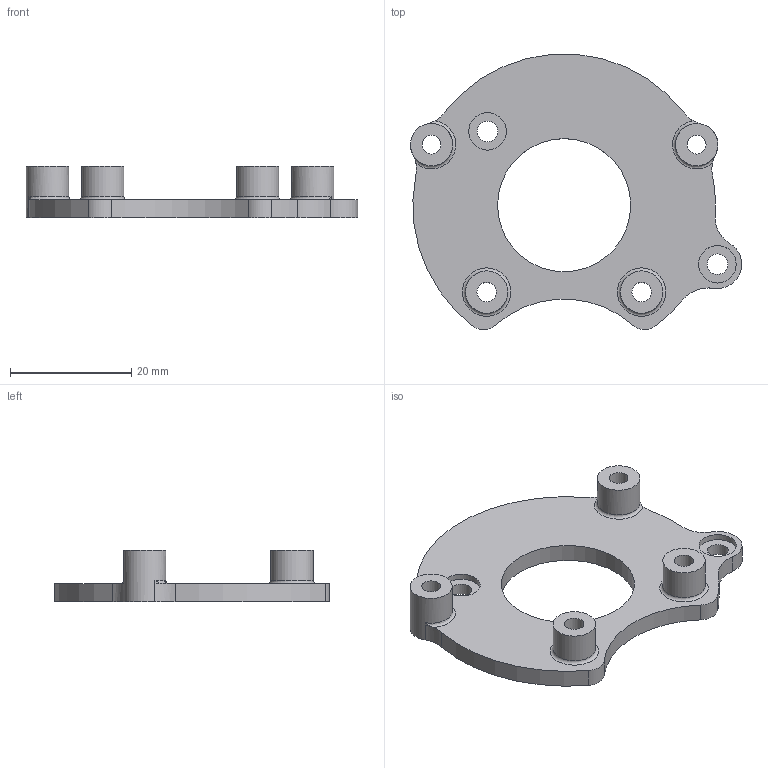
import cadquery as cq
import math

plate_thickness = 3.0
plate_radius = 25.0
bore_diameter = 22.0
blend_radius = 5.0
tab_front_blend_radius = 6.0

scallop_radius = 17.0
scallop_center_y = -32.5
scallop_corner_radius = 3.0

overall_height = 8.5
post_diameter = 7.0
post_foot_radius = 0.5
rear_post_x = 21.9
rear_post_y = 10.0
rear_post_hole_diameter = 3.1
front_post_x = 12.8
front_post_y = -14.35
front_post_hole_diameter = 3.2

tab_center = (25.32, -9.75)
tab_radius = 4.0
inner_screw_center = (-12.65, 12.2)
screw_hole_diameter = 3.4
counterbore_diameter = 6.2
counterbore_depth = 1.0

post_radius = post_diameter / 2
rear_posts = [(side * rear_post_x, rear_post_y) for side in (-1, 1)]
front_posts = [(side * front_post_x, front_post_y) for side in (-1, 1)]
screw_centers = [tab_center, inner_screw_center]


def cylinders(centers, radius, height):
    """Upright cylinders standing on the bottom plane."""
    return cq.Workplane("XY").pushPoints(centers).circle(radius).extrude(height)


def outline_prism(height):
    """Solid with the plate's outer contour, extruded to the given height."""
    seam_angle = math.degrees(math.atan2(rear_post_y, rear_post_x))
    disc = cylinders([(0, 0)], plate_radius, height).rotate((0, 0, 0), (0, 0, 1), seam_angle)
    lugs = cylinders(rear_posts, post_radius, height)
    tab = cylinders([tab_center], tab_radius, height)
    body = disc.union(lugs).union(tab)
    body = body.edges("|Z").edges("not <Y").fillet(blend_radius)
    body = body.edges("|Z").edges("<Y").fillet(tab_front_blend_radius)

    scallop = cylinders([(0, scallop_center_y)], scallop_radius, height)
    body = body.cut(scallop)
    return body.edges("|Z").edges("<Y").fillet(scallop_corner_radius)


def post_foot(center):
    """Concave flare around the bottom of a post, resting on the plate top."""
    foot_top = plate_thickness + post_foot_radius
    outer_radius = post_radius + post_foot_radius
    arc_mid_offset = post_foot_radius * (1 - math.sqrt(0.5))
    arc_middle = (post_radius + arc_mid_offset, plate_thickness + arc_mid_offset)
    profile = (
        cq.Workplane("XZ")
        .moveTo(0, plate_thickness)
        .lineTo(outer_radius, plate_thickness)
        .threePointArc(arc_middle, (post_radius, foot_top))
        .lineTo(0, foot_top)
        .close()
    )
    return profile.revolve(360, (0, 0, 0), (0, 1, 0)).translate((*center, 0))


def add_posts(body):
    """Join the posts to the plate, with their feet trimmed flush with the plate's contour."""
    envelope = outline_prism(overall_height)
    posts = rear_posts + front_posts
    for center in posts:
        body = body.union(post_foot(center).intersect(envelope))
    return body.union(cylinders(posts, post_radius, overall_height))


def cut_holes(body):
    """Cut the central bore, the post holes and the counterbored screw holes."""
    body = body.cut(cylinders([(0, 0)], bore_diameter / 2, plate_thickness))
    body = body.cut(cylinders(rear_posts, rear_post_hole_diameter / 2, overall_height))
    body = body.cut(cylinders(front_posts, front_post_hole_diameter / 2, overall_height))
    body = body.cut(cylinders(screw_centers, screw_hole_diameter / 2, plate_thickness))
    counterbores = cylinders(screw_centers, counterbore_diameter / 2, counterbore_depth)
    return body.cut(counterbores.translate((0, 0, plate_thickness - counterbore_depth)))


result = cut_holes(add_posts(outline_prism(plate_thickness)))